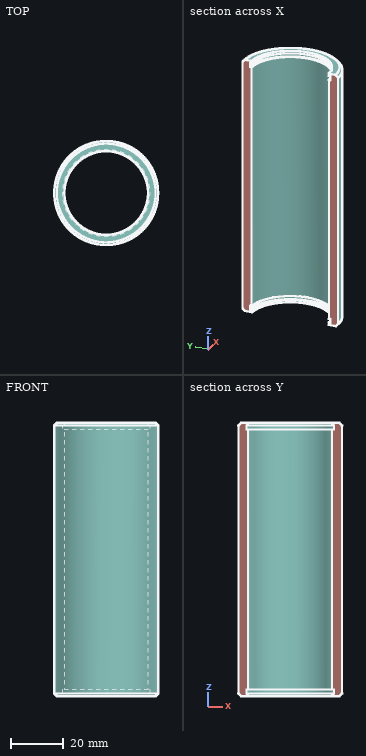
import cadquery as cq

length = 105.0
outer_diameter = 40.0
bore_diameter = 32.0
edge_chamfer = 1.0

groove_offset = 1.0
groove_width = 1.6
groove_depth = 0.7


def make_tube():
    """Plain tube with chamfered outer rims, standing on the XY plane."""
    body = cq.Workplane("XY").circle(outer_diameter / 2).extrude(length)
    body = body.faces("<Z or >Z").edges().chamfer(edge_chamfer)
    return body.faces(">Z").workplane().hole(bore_diameter)


def make_groove(bottom):
    """Disc that cuts a ring groove into the bore wall, starting at height bottom."""
    groove_radius = bore_diameter / 2 + groove_depth
    return cq.Workplane("XY").workplane(offset=bottom).circle(groove_radius).extrude(groove_width)


result = make_tube()
for groove_bottom in (groove_offset, length - groove_offset - groove_width):
    result = result.cut(make_groove(groove_bottom))